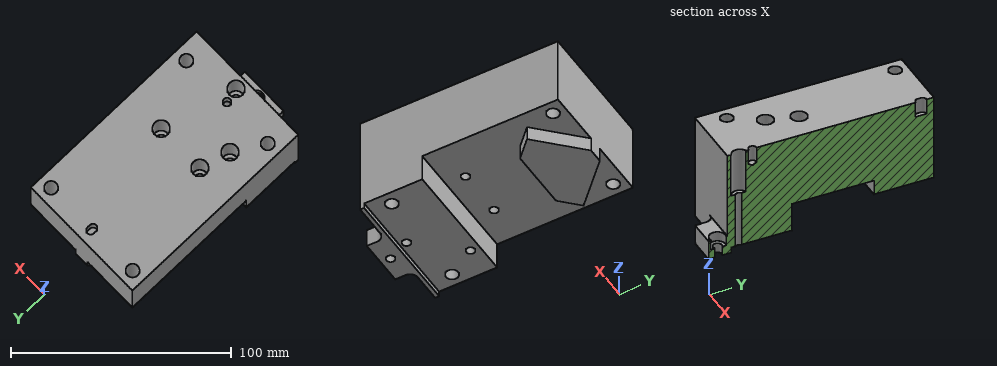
import cadquery as cq
import math

WIDTH = 66.5
LENGTH = 113.8
HEIGHT = 54.6
TAB_REACH = 9.5

BRIDGE_THICKNESS = 37.1
LEG_LENGTH = 32.8
LIP_LENGTH = 2.2
LIP_HEIGHT = 2.8

TAB_WIDTH = 25.3
TAB_CENTRE_X = -1.1
TAB_HEIGHT = 10.1
TAB_FILLET = 4.0

FOOT_HEIGHT = 7.6
FOOT_LENGTH = 30.3
SHOULDER_DISTANCE = 21.2
SHOULDER_HALF_WIDTH = 25.0
REAR_FLARE = 45.0
FRONT_TAPER = 45.0

MOUNT_DIAMETER = 6.4
MOUNT_SPACING_X = 53.3
MOUNT_SPACING_Y = 85.0
MOUNT_REAR_INSET = 6.5
PIN_DIAMETER = 4.0
PIN_DEPTH = 8.0
PIN_TIP_ANGLE = 118.0
SLOT_LENGTH = 5.5
SLOT_DEPTH = 8.0

SCREW_DIAMETER = 4.3
BORE_DIAMETER = 8.0
BODY_BORE_DEPTH = 22.8
TAB_BORE_DEPTH = 5.0
REAR_SCREW_Y = 52.4
BODY_SCREWS = [(-13.4, REAR_SCREW_Y), (11.8, REAR_SCREW_Y), (-17.6, 37.5), (1.6, 15.1)]
TAB_SCREW = (TAB_CENTRE_X, 5.1)

MOUNT_REAR_Y = LENGTH - MOUNT_REAR_INSET
MOUNT_FRONT_Y = MOUNT_REAR_Y - MOUNT_SPACING_Y


def make_body():
    """Side profile of the block, extruded across the full width."""
    front = TAB_REACH
    leg_rear = front + LEG_LENGTH
    bridge_bottom = HEIGHT - BRIDGE_THICKNESS
    profile = [
        (front, 0),
        (front + LIP_LENGTH, 0),
        (front + LIP_LENGTH, LIP_HEIGHT),
        (leg_rear, LIP_HEIGHT),
        (leg_rear, bridge_bottom),
        (LENGTH, bridge_bottom),
        (LENGTH, HEIGHT),
        (front, HEIGHT),
    ]
    return cq.Workplane("YZ").polyline(profile).close().extrude(WIDTH / 2, both=True)


def make_tab():
    """Front tab that blends into the block with a concave fillet on each side."""
    left = TAB_CENTRE_X - TAB_WIDTH / 2
    right = TAB_CENTRE_X + TAB_WIDTH / 2
    fillet_start = TAB_REACH - TAB_FILLET
    return (
        cq.Workplane("XY")
        .moveTo(left, 0)
        .lineTo(right, 0)
        .lineTo(right, fillet_start)
        .radiusArc((right + TAB_FILLET, TAB_REACH), TAB_FILLET)
        .lineTo(right + TAB_FILLET, TAB_REACH + LIP_LENGTH)
        .lineTo(left - TAB_FILLET, TAB_REACH + LIP_LENGTH)
        .lineTo(left - TAB_FILLET, TAB_REACH)
        .radiusArc((left, fillet_start), TAB_FILLET)
        .close()
        .extrude(TAB_HEIGHT)
    )


def make_foot():
    """Symmetric six-sided foot hanging below the rear end."""
    shoulder_y = LENGTH - SHOULDER_DISTANCE
    front_y = LENGTH - FOOT_LENGTH
    rear_half = SHOULDER_HALF_WIDTH - SHOULDER_DISTANCE * math.tan(math.radians(REAR_FLARE))
    front_half = SHOULDER_HALF_WIDTH - (shoulder_y - front_y) * math.tan(math.radians(FRONT_TAPER))
    right_side = [(front_half, front_y), (SHOULDER_HALF_WIDTH, shoulder_y), (rear_half, LENGTH)]
    left_side = [(-x, y) for x, y in reversed(right_side)]
    foot_bottom = HEIGHT - BRIDGE_THICKNESS - FOOT_HEIGHT
    return (
        cq.Workplane("XY", origin=(0, 0, foot_bottom))
        .polyline(right_side + left_side)
        .close()
        .extrude(FOOT_HEIGHT)
    )


def vertical_cylinder(centre, diameter, top, depth):
    """Cylinder reaching down from a given height."""
    return cq.Workplane("XY", origin=(*centre, top)).circle(diameter / 2).extrude(-depth)


def screw_hole(centre, top, bore_depth):
    """Through hole with a counterbore opening at a given height."""
    shank = vertical_cylinder(centre, SCREW_DIAMETER, top, top)
    bore = vertical_cylinder(centre, BORE_DIAMETER, top, bore_depth)
    return shank.union(bore)


def pin_hole():
    """Blind locating hole with a conical drill tip."""
    radius = PIN_DIAMETER / 2
    tip_depth = radius / math.tan(math.radians(PIN_TIP_ANGLE / 2))
    floor = HEIGHT - PIN_DEPTH
    profile = [(0, HEIGHT), (radius, HEIGHT), (radius, floor), (0, floor - tip_depth)]
    hole = cq.Workplane("XZ").polyline(profile).close().revolve(360, (0, 0), (0, 1))
    return hole.translate((0, MOUNT_FRONT_Y, 0))


def locating_slot():
    """Blind slot, long in Y, level with the rear mounting holes."""
    return (
        cq.Workplane("XY", origin=(0, MOUNT_REAR_Y, HEIGHT))
        .slot2D(SLOT_LENGTH, PIN_DIAMETER, 90)
        .extrude(-SLOT_DEPTH)
    )


result = make_body().union(make_tab()).union(make_foot())

for mount_x in (-MOUNT_SPACING_X / 2, MOUNT_SPACING_X / 2):
    for mount_y in (MOUNT_FRONT_Y, MOUNT_REAR_Y):
        result = result.cut(vertical_cylinder((mount_x, mount_y), MOUNT_DIAMETER, HEIGHT, HEIGHT))

for screw in BODY_SCREWS:
    result = result.cut(screw_hole(screw, HEIGHT, BODY_BORE_DEPTH))

result = result.cut(screw_hole(TAB_SCREW, TAB_HEIGHT, TAB_BORE_DEPTH))
result = result.cut(pin_hole())
result = result.cut(locating_slot())